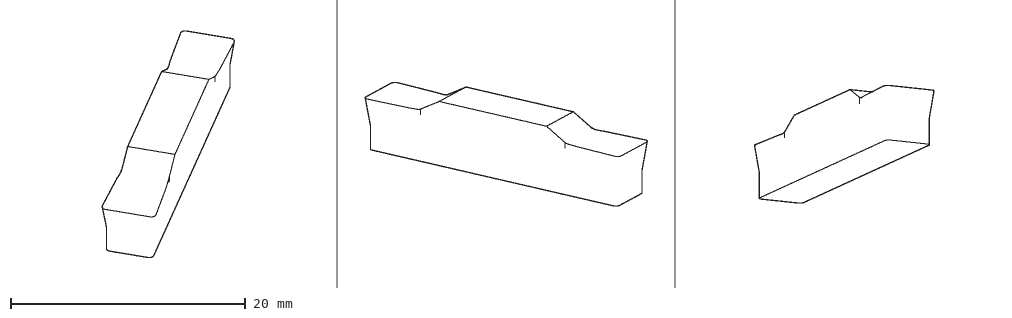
import cadquery as cq
import math

length = 26.0
height = 5.85
body_width = 4.19
corner_radius = 0.42

sharp_edge_width = 4.78
edge_height = 4.68
relief_angle = 7.0
relief_depth = 2.83
back_taper_angle = 2.5
head_start = 7.33

ramp_angle = 30.0
trough_radius = 1.05
ramp_foot = 7.5

runout_start = 8.5
runout_gap = 0.013

relief_slope = math.tan(math.radians(relief_angle))
taper_slope = math.tan(math.radians(back_taper_angle))
body_length = length - 2 * relief_depth * relief_slope
ramp_top = ramp_foot - (height - edge_height) / math.tan(math.radians(ramp_angle))


def side_edge(y):
    """Half width of the top cutting edge at distance y from the centre."""
    return sharp_edge_width / 2 - (length / 2 - y) * taper_slope


def make_body():
    """Straight shank with rounded upright corners."""
    shank = cq.Workplane("XY").box(body_width, body_length, height, centered=(True, True, False))
    return shank.edges("|Z").fillet(corner_radius)


def make_runout(side):
    """Concave upright cutter that thins one side of a head near its inner end."""
    inner_x = body_width / 2 + runout_gap
    outer_x = side_edge(runout_start)
    clear_x = sharp_edge_width
    rise = outer_x - inner_x
    run = runout_start - head_start
    radius = (run**2 + rise**2) / (2 * rise)
    half_angle = math.atan2(rise, run)
    mid_y = head_start + radius * math.sin(half_angle)
    mid_x = inner_x + radius * (1 - math.cos(half_angle))
    return (
        cq.Workplane("XY")
        .moveTo(side * inner_x, head_start)
        .threePointArc((side * mid_x, mid_y), (side * outer_x, runout_start))
        .lineTo(side * clear_x, runout_start)
        .lineTo(side * clear_x, head_start)
        .close()
        .extrude(height)
    )


def make_head():
    """Head at the +Y end, wider than the shank and relieved on its end and sides."""
    growth = (height - edge_height) * relief_slope
    side_growth = growth / math.cos(math.radians(back_taper_angle))
    end_y = length / 2 + growth
    end_x = side_edge(end_y) + side_growth
    centre_x = side_edge(0) + side_growth
    head = (
        cq.Workplane("XY")
        .workplane(offset=height)
        .polyline([(-centre_x, 0), (centre_x, 0), (end_x, end_y), (-end_x, end_y)])
        .close()
        .extrude(-height, taper=relief_angle)
    )
    head = head.faces(">Y").edges("not #Z").fillet(corner_radius)
    keep = cq.Workplane("XY").box(length, length, height, centered=(True, False, False))
    head = head.intersect(keep.translate((0, head_start, 0)))
    for side in (-1, 1):
        head = head.cut(make_runout(side))
    return head


def make_side_profile():
    """Side outline with the raised centre, extruded across the full width."""
    half_length = length / 2
    profile = (
        cq.Workplane("YZ")
        .polyline([
            (-half_length, 0),
            (half_length, 0),
            (half_length, edge_height),
            (ramp_foot, edge_height),
            (ramp_top, height),
            (-ramp_top, height),
            (-ramp_foot, edge_height),
            (-half_length, edge_height),
        ])
        .close()
        .extrude(sharp_edge_width, both=True)
    )
    for end in (-1, 1):
        foot = cq.selectors.NearestToPointSelector((0, end * ramp_foot, edge_height))
        profile = profile.edges("|X").edges(foot).fillet(trough_radius)
    return profile


head = make_head()
blank = make_body().union(head).union(head.mirror("XZ"))
result = blank.intersect(make_side_profile())